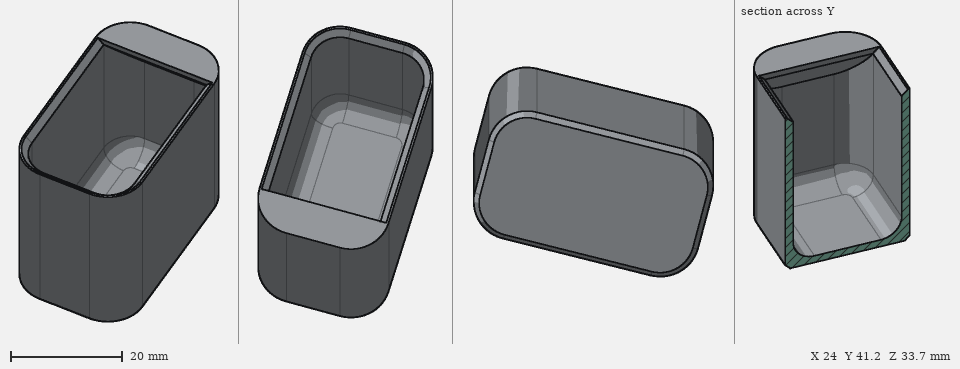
import cadquery as cq
import math

width = 24.0
length = 41.2
height = 33.7
corner_radius = 7.0
base_chamfer = 1.0

wall = 1.6
floor_thickness = wall
floor_fillet = 4.0

rim_land = 0.4
rim_depth = wall - rim_land
shelf_length = 6.92
shelf_underside_angle = 52.0
shelf_front_y = length / 2 - shelf_length


def rounded_block(inset, bottom, top):
    """Upright block with the body's rounded outline, inset evenly on all sides."""
    return (
        cq.Workplane("XY", origin=(0, 0, bottom))
        .rect(width - 2 * inset, length - 2 * inset)
        .extrude(top - bottom)
        .edges("|Z")
        .fillet(corner_radius - inset)
    )


def make_cavity():
    """Round-bottomed pocket whose mouth widens at 45 degrees up to the rim."""
    pocket = rounded_block(wall, floor_thickness, height).faces("<Z").edges().fillet(floor_fillet)
    mouth_bottom = height - rim_depth
    mouth = (
        rounded_block(rim_land, mouth_bottom, height + rim_land)
        .faces("<Z")
        .edges()
        .chamfer(rim_depth)
    )
    return pocket.union(mouth)


def make_shelf_space():
    """Space kept solid at the back: an upright front edge above a sloping underside."""
    edge_bottom = height - rim_depth
    underside_drop = shelf_length * math.tan(math.radians(shelf_underside_angle))
    return (
        cq.Workplane("YZ")
        .moveTo(shelf_front_y, height)
        .lineTo(shelf_front_y, edge_bottom)
        .lineTo(length / 2, edge_bottom - underside_drop)
        .lineTo(length / 2, height)
        .close()
        .extrude(width / 2, both=True)
    )


body = rounded_block(0, 0, height).faces("<Z").edges().chamfer(base_chamfer)
result = body.cut(make_cavity().cut(make_shelf_space()))